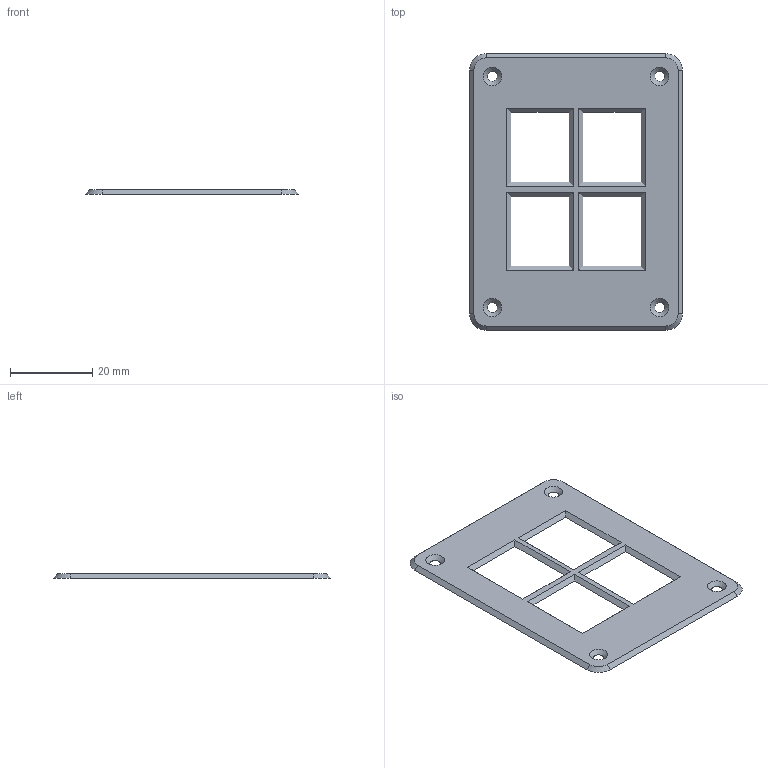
import cadquery as cq
import math

PLATE_WIDTH = 51.7
PLATE_LENGTH = 67.24
THICKNESS = 1.0
CORNER_RADIUS = 4.0

BEVEL_ANGLE = 45.0
BEVEL = THICKNESS * math.tan(math.radians(BEVEL_ANGLE))

SCREW_EDGE_INSET = 5.5
SCREW_SPACING_X = PLATE_WIDTH - 2 * SCREW_EDGE_INSET
SCREW_SPACING_Y = PLATE_LENGTH - 2 * SCREW_EDGE_INSET
SCREW_HOLE_DIAMETER = 2.5
COUNTERSINK_DIAMETER = SCREW_HOLE_DIAMETER + 2 * BEVEL

WINDOW_WIDTH = 14.3
WINDOW_LENGTH = 17.0
WINDOW_PITCH_X = 17.5
WINDOW_PITCH_Y = 20.5
WINDOW_GRID_CENTER_Y = 0.65


def make_plate():
    """Rounded plate whose whole rim slopes inward towards the top face."""
    outline = cq.Sketch().rect(PLATE_WIDTH, PLATE_LENGTH).vertices().fillet(CORNER_RADIUS)
    return cq.Workplane("XY").placeSketch(outline).extrude(THICKNESS, taper=BEVEL_ANGLE)


def cut_screw_holes(plate):
    """Cut conical holes that widen from the bottom face to the top face."""
    cone = cq.Solid.makeCone(SCREW_HOLE_DIAMETER / 2, COUNTERSINK_DIAMETER / 2, THICKNESS)
    holes = cq.Workplane("XY").rect(SCREW_SPACING_X, SCREW_SPACING_Y, forConstruction=True).vertices()
    return plate.cut(holes.eachpoint(lambda place: cone.moved(place)))


def cut_windows(plate):
    """Cut rectangular windows whose four walls flare outward towards the top face."""
    window = (
        cq.Workplane("XY")
        .rect(WINDOW_WIDTH, WINDOW_LENGTH)
        .workplane(offset=THICKNESS)
        .rect(WINDOW_WIDTH + 2 * BEVEL, WINDOW_LENGTH + 2 * BEVEL)
        .loft(ruled=True)
        .val()
    )
    grid = (
        cq.Workplane("XY")
        .center(0, WINDOW_GRID_CENTER_Y)
        .rarray(WINDOW_PITCH_X, WINDOW_PITCH_Y, 2, 2)
    )
    return plate.cut(grid.eachpoint(lambda place: window.moved(place)))


result = cut_windows(cut_screw_holes(make_plate()))